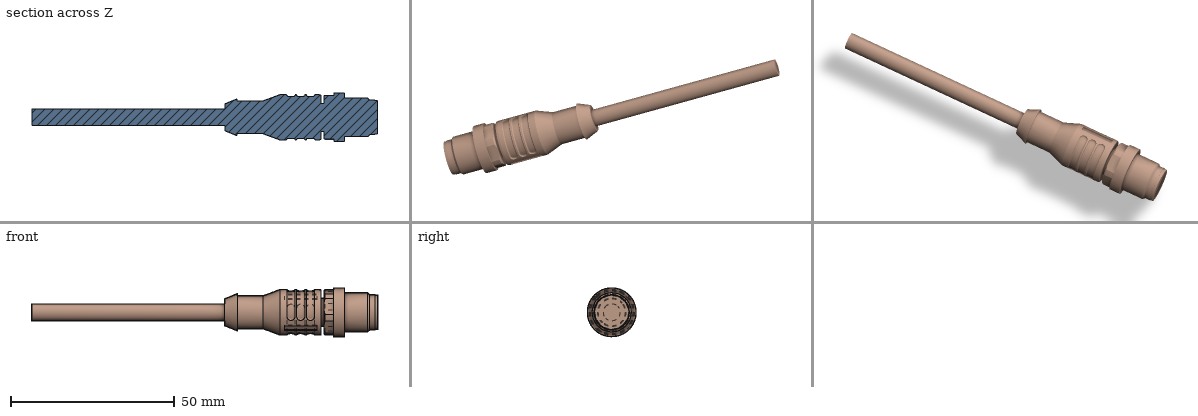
import cadquery as cq
import math

plug_length = 106.0

cable_diameter = 5.2

boot_start = 59.1
lip_start_diameter = 8.3
lip_end_diameter = 11.5
lip_length = 3.9
boot_neck_diameter = 10.2
boot_neck_length = 7.9
boot_cone_length = 5.1

grip_diameter = 14.0
grip_length = 12.6
grip_end_taper_length = 0.6
grip_end_taper_depth = 0.1

gap_length = 0.9
gap_diameter = 8.7

hex_length = 3.0
hex_across_flats = 13.0
hex_corner_diameter = 14.0
hex_chamfer = 0.4
hex_rotation = 14.0
collar_diameter = 15.0
collar_length = 3.35

barrel_diameter = 12.0
barrel_end = 103.5
barrel_chamfer = 0.6
tip_diameter = 10.8
tip_end_diameter = 10.5
tip_step_start = 105.1

grip_feature_center = 82.4

slot_count = 3
slot_pitch = 3.0
slot_width = 2.5
slot_depth = 0.5
slot_floor_fillet = 0.45
slot_overrun = 2.5

recess_length = 10.0
recess_width = 2.0
recess_floor_radius = 6.5
recess_angles = (45, 225)

lip_end = boot_start + lip_length
boot_neck_end = lip_end + boot_neck_length
grip_start = boot_neck_end + boot_cone_length
grip_end = grip_start + grip_length
nut_start = grip_end + gap_length
collar_start = nut_start + hex_length
collar_end = collar_start + collar_length

grip_radius = grip_diameter / 2
tool_reach = grip_diameter


def rod(start, end, diameter):
    """Cylinder on the X axis between two stations."""
    return cq.Workplane("YZ").workplane(offset=start).circle(diameter / 2).extrude(end - start)


def make_turned_body():
    """Everything that is round about the X axis, except the hexagon."""
    profile = [
        (0, 0),
        (0, cable_diameter / 2),
        (boot_start, cable_diameter / 2),
        (boot_start, lip_start_diameter / 2),
        (lip_end, lip_end_diameter / 2),
        (lip_end, boot_neck_diameter / 2),
        (boot_neck_end, boot_neck_diameter / 2),
        (grip_start, grip_radius),
        (grip_end - grip_end_taper_length, grip_radius),
        (grip_end, grip_radius - grip_end_taper_depth),
        (grip_end, gap_diameter / 2),
        (collar_start, gap_diameter / 2),
        (collar_start, collar_diameter / 2),
        (collar_end, collar_diameter / 2),
        (collar_end, barrel_diameter / 2),
        (barrel_end - barrel_chamfer, barrel_diameter / 2),
        (barrel_end, tip_diameter / 2),
        (tip_step_start, tip_diameter / 2),
        (tip_step_start, tip_end_diameter / 2),
        (plug_length, tip_end_diameter / 2),
        (plug_length, 0),
    ]
    return cq.Workplane("XY").polyline(profile).close().revolve(360, (0, 0, 0), (1, 0, 0))


def make_hex():
    """Hexagon with its corners rounded to a cylinder and its free edge chamfered."""
    corner_to_corner = hex_across_flats / math.cos(math.radians(30))
    hexagon = (
        cq.Workplane("YZ")
        .workplane(offset=nut_start)
        .polygon(6, corner_to_corner)
        .extrude(hex_length)
        .rotate((0, 0, 0), (1, 0, 0), hex_rotation)
    )
    envelope = rod(nut_start, collar_start, hex_corner_diameter).faces("<X").chamfer(hex_chamfer)
    return hexagon.intersect(envelope)


def make_slot_cutter(center_x):
    """One slot with round ends and a filleted floor, wrapping the -Y/+Z side of the grip."""
    round_center = slot_overrun - slot_width / 2
    straight = tool_reach + round_center
    top_outline = (
        cq.Workplane("XY")
        .center(center_x, round_center - straight / 2)
        .slot2D(straight + slot_width, slot_width, 90)
        .extrude(tool_reach)
    )
    front_outline = (
        cq.Workplane("XZ")
        .center(center_x, straight / 2 - round_center)
        .slot2D(straight + slot_width, slot_width, 90)
        .extrude(tool_reach)
    )
    core = rod(grip_start, grip_end, grip_diameter - 2 * slot_depth)
    rim = rod(grip_start, grip_end, grip_diameter + 2 * slot_depth)
    cutter = top_outline.union(front_outline).intersect(rim).cut(core)
    floor = cq.selectors.NearestToPointSelector((center_x, 0, 0))
    return cutter.faces(floor).edges().fillet(slot_floor_fillet)


def make_recess_cutter(angle):
    """Rectangular recess sunk to a flat floor, turned to the given angle from +Y toward +Z."""
    return (
        cq.Workplane("XY")
        .workplane(offset=recess_floor_radius)
        .center(grip_feature_center, 0)
        .rect(recess_length, recess_width)
        .extrude(tool_reach)
        .rotate((0, 0, 0), (1, 0, 0), angle - 90)
    )


def cut_slots(body):
    for index in range(slot_count):
        center_x = grip_feature_center + (index - (slot_count - 1) / 2) * slot_pitch
        cutter = make_slot_cutter(center_x)
        body = body.cut(cutter)
        body = body.cut(cutter.rotate((0, 0, 0), (1, 0, 0), 180))
    return body


def cut_recesses(body):
    for angle in recess_angles:
        body = body.cut(make_recess_cutter(angle))
    return body


plug = make_turned_body().union(make_hex())
plug = cut_slots(plug)
result = cut_recesses(plug)